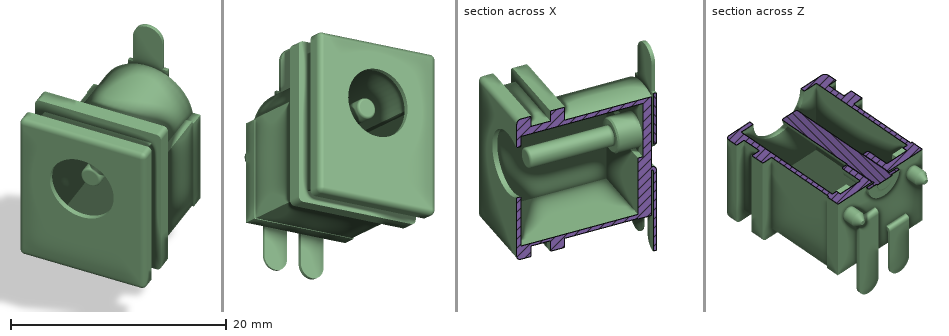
import cadquery as cq


FLANGE_THICK = 1.5
GROOVE_WIDTH = 2.0
BARREL_LENGTH = 7.55
REAR_THICK = 1.44
GROOVE_Y = FLANGE_THICK
REAR_FLANGE_Y = GROOVE_Y + GROOVE_WIDTH
BARREL_Y = REAR_FLANGE_Y + FLANGE_THICK
REAR_Y = BARREL_Y + BARREL_LENGTH
BACK_Y = REAR_Y + REAR_THICK

FLANGE_WIDTH = 13.0
FLANGE_HALF = FLANGE_WIDTH / 2
FLANGE_BOTTOM = -9.8
FLANGE_TOP = 5.9
FLANGE_ROUND = 0.49
NECK_HALF = 5.5
NECK_BOTTOM = -8.63
NECK_TOP = 4.78
BODY_HALF = 5.35
BODY_BOTTOM = -8.79
BODY_TOP = 1.02
REAR_BOTTOM = -8.85
REAR_TOP = 0.86
BARREL_RADIUS = 4.8

WALL = 0.5
MOUTH_RADIUS = 3.3
MOUTH_DEPTH = WALL
CAVITY_HALF = BODY_HALF - WALL
CAVITY_BOTTOM = BODY_BOTTOM + WALL
CAVITY_RADIUS = BARREL_RADIUS - WALL
RECESS_DEPTH = 0.5
RECESS_RADIUS = 2.99
RECESS_FLAT_Z = -2.0
RECESS_Y = REAR_Y + RECESS_DEPTH
BOSS_RADIUS = 1.75
BOSS_LENGTH = 2.5
BOSS_CHAMFER = 0.15

PEG_RADIUS = 0.75
PEG_TIP_RADIUS = 0.25
PEG_SHANK = 1.22
PEG_LENGTH = 1.9
PEG_X = 4.1
PEG_Z = -2.0

TERMINAL_OUT = 0.5
TERMINAL_Y = BACK_Y + TERMINAL_OUT
LEG_WIDTH = 2.52
LEG_ROOT_HEIGHT = 0.42
LEFT_LEG_X = -2.01
LEFT_LEG_TOP = -6.62
LEFT_LEG_END = -12.77
LEFT_LEG_THICK = 0.22
LEFT_LEG_BEND = 0.4
LEFT_LEG_INNER_BEND = 0.27
RIGHT_LEG_X = 1.95
RIGHT_LEG_TOP = -3.39
RIGHT_LEG_END = -12.9
RIGHT_LEG_THICK = 0.38
RIGHT_LEG_BEND = 0.49
RIGHT_LEG_INNER_BEND = 0.09

PIN_RADIUS = 1.0
PIN_TIP_Y = 1.84
PIN_TIP_ROUND = 0.22
RIVET_OUT = 0.65
TAB_THICK = 0.38
TAB_HALF = 1.5
TAB_TOP = 9.23
SHOULDER_HALF = 2.01
SHOULDER_TOP = 4.75
STOP_BOTTOM = 2.83
STOP_TOP = 3.35
STOP_WIDTH = 2.0


def block(half_width, bottom, top, y_start, y_end):
    """Box centred on x = 0 between two heights and two depths."""
    size = (2 * half_width, y_end - y_start, top - bottom)
    return cq.Workplane("XY").box(*size, centered=False).translate((-half_width, y_start, bottom))


def rod(radius, y_start, y_end, x=0, z=0):
    """Cylinder along Y."""
    axis = cq.Vector(0, 1, 0)
    return cq.Workplane(cq.Solid.makeCylinder(radius, y_end - y_start, cq.Vector(x, y_start, z), axis))


def flange(y_start):
    """Front or rear flange with rounded corners."""
    plate = block(FLANGE_HALF, FLANGE_BOTTOM, FLANGE_TOP, y_start, y_start + FLANGE_THICK)
    return plate.edges("|Y").fillet(FLANGE_ROUND)


def shell_outside():
    """Flanges, groove neck, square lower body, rear rim and round barrel."""
    outside = flange(0).faces("<Y").edges().fillet(FLANGE_ROUND)
    outside = outside.union(flange(REAR_FLANGE_Y))
    outside = outside.union(block(NECK_HALF, NECK_BOTTOM, NECK_TOP, GROOVE_Y, REAR_FLANGE_Y))
    outside = outside.union(block(BODY_HALF, BODY_BOTTOM, BODY_TOP, BARREL_Y, REAR_Y))
    outside = outside.union(block(NECK_HALF, REAR_BOTTOM, REAR_TOP, REAR_Y, BACK_Y))
    return outside.union(rod(BARREL_RADIUS, BARREL_Y, BACK_Y))


def socket_cavity():
    """Round mouth, hollow interior and the stepped recess in the back wall."""
    interior = block(CAVITY_HALF, CAVITY_BOTTOM, BODY_TOP - WALL, MOUTH_DEPTH, REAR_Y)
    interior = interior.union(rod(CAVITY_RADIUS, MOUTH_DEPTH, REAR_Y))
    upper_half = block(CAVITY_RADIUS, 0, CAVITY_RADIUS, REAR_Y, RECESS_Y)
    upper_recess = rod(CAVITY_RADIUS, REAR_Y, RECESS_Y).intersect(upper_half)
    above_flat = block(RECESS_RADIUS, RECESS_FLAT_Z, RECESS_RADIUS, REAR_Y, RECESS_Y)
    lower_recess = rod(RECESS_RADIUS, REAR_Y, RECESS_Y).intersect(above_flat)
    return interior.union(rod(MOUTH_RADIUS, 0, MOUTH_DEPTH)).union(upper_recess).union(lower_recess)


def pin_boss():
    """Chamfered boss that carries the pin, standing on the recess floor."""
    return rod(BOSS_RADIUS, RECESS_Y - BOSS_LENGTH, RECESS_Y).faces("<Y").chamfer(BOSS_CHAMFER)


def peg(x):
    """Locating peg with a conical tip."""
    profile = [
        (0, 0),
        (PEG_RADIUS, 0),
        (PEG_RADIUS, PEG_SHANK),
        (PEG_TIP_RADIUS, PEG_LENGTH),
        (0, PEG_LENGTH),
    ]
    turned = cq.Workplane("XY").polyline(profile).close().revolve(360, (0, 0, 0), (0, 1, 0))
    return turned.translate((x, BACK_Y, PEG_Z))


def bent_leg(x, top, end, thick, bend_radius, inner_bend_radius):
    """Solder leg that leaves the back face, bends down and ends in a half round."""
    inner_y = TERMINAL_Y - thick
    end_radius = LEG_WIDTH / 2
    root_bottom = top - LEG_ROOT_HEIGHT
    round_z = end + end_radius
    strip = (
        cq.Workplane("YZ")
        .moveTo(BACK_Y, top)
        .lineTo(TERMINAL_Y - bend_radius, top)
        .radiusArc((TERMINAL_Y, top - bend_radius), bend_radius)
        .lineTo(TERMINAL_Y, round_z)
        .lineTo(inner_y, round_z)
        .lineTo(inner_y, root_bottom - inner_bend_radius)
        .radiusArc((inner_y - inner_bend_radius, root_bottom), -inner_bend_radius)
        .lineTo(BACK_Y, root_bottom)
        .close()
        .extrude(LEG_WIDTH)
        .translate((x - end_radius, 0, 0))
    )
    return strip.union(rod(end_radius, inner_y, TERMINAL_Y, x, round_z))


def make_housing():
    """Hollow moulding with its boss, pegs, tab stop and two solder legs as one solid."""
    housing = shell_outside().cut(socket_cavity()).union(pin_boss())
    housing = housing.cut(rod(PIN_RADIUS, PIN_TIP_Y, BACK_Y))
    for x in (-PEG_X, PEG_X):
        housing = housing.union(peg(x))
    tab_stop = block(STOP_WIDTH / 2, STOP_BOTTOM, STOP_TOP, BACK_Y, TERMINAL_Y - TAB_THICK)
    housing = housing.union(tab_stop)
    left_leg = bent_leg(
        LEFT_LEG_X,
        LEFT_LEG_TOP,
        LEFT_LEG_END,
        LEFT_LEG_THICK,
        LEFT_LEG_BEND,
        LEFT_LEG_INNER_BEND,
    )
    right_leg = bent_leg(
        RIGHT_LEG_X,
        RIGHT_LEG_TOP,
        RIGHT_LEG_END,
        RIGHT_LEG_THICK,
        RIGHT_LEG_BEND,
        RIGHT_LEG_INNER_BEND,
    )
    return housing.union(left_leg).union(right_leg)


def contact_tab():
    """Flat tab: round lower end, square shoulders, narrower round-topped tongue."""
    tongue_arc_z = TAB_TOP - TAB_HALF
    outline = (
        cq.Workplane("XZ", origin=(0, TERMINAL_Y, 0))
        .moveTo(-SHOULDER_HALF, 0)
        .threePointArc((0, -SHOULDER_HALF), (SHOULDER_HALF, 0))
        .lineTo(SHOULDER_HALF, SHOULDER_TOP)
        .lineTo(TAB_HALF, SHOULDER_TOP)
        .lineTo(TAB_HALF, tongue_arc_z)
        .threePointArc((0, TAB_TOP), (-TAB_HALF, tongue_arc_z))
        .lineTo(-TAB_HALF, SHOULDER_TOP)
        .lineTo(-SHOULDER_HALF, SHOULDER_TOP)
        .close()
    )
    return outline.extrude(TAB_THICK)


def make_contact():
    """Centre pin with a rounded tip, riveted through its tab."""
    pin = rod(PIN_RADIUS, PIN_TIP_Y, BACK_Y + RIVET_OUT).faces("<Y").edges().fillet(PIN_TIP_ROUND)
    return pin.union(contact_tab())


housing = make_housing()
contact = make_contact()
result = cq.Compound.makeCompound([housing.val(), contact.val()])